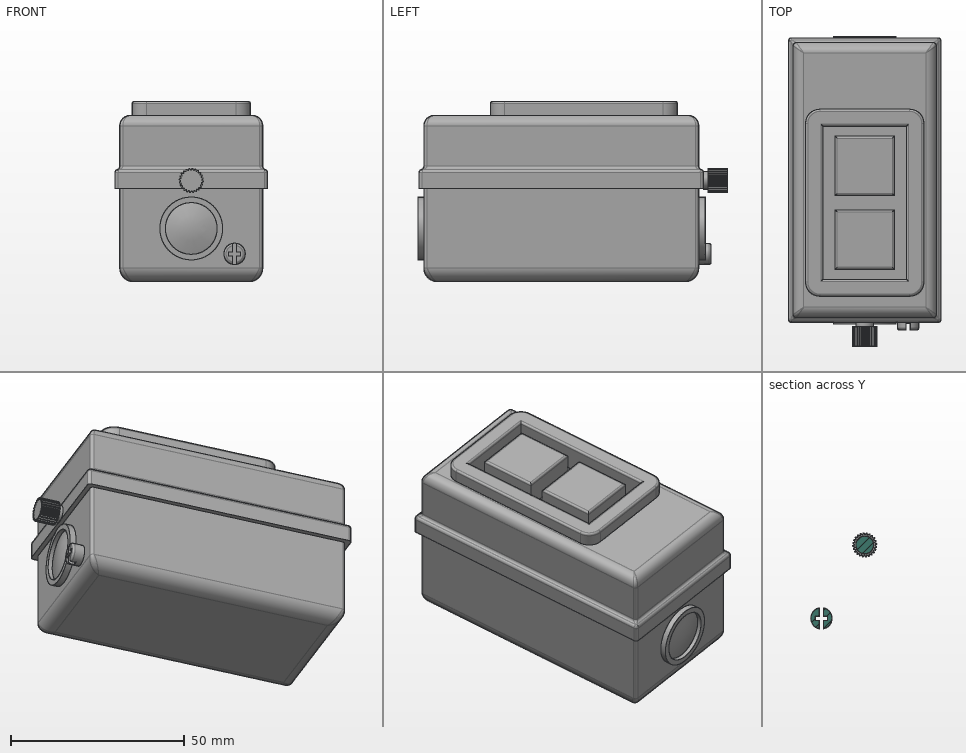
import cadquery as cq
import math

TOTAL_LENGTH = 89.3
BODY_WIDTH = 41.3
BODY_LENGTH = 79.3
BODY_HEIGHT = 47.95
FLANGE_WIDTH = 44.0
FLANGE_OVERHANG = (FLANGE_WIDTH - BODY_WIDTH) / 2
FLANGE_BOTTOM = 26.9
FLANGE_STRAIGHT_TOP = 31.4
FLANGE_CURVE_RADIUS = 1.0
BASE_EDGE_RADIUS = 4.0
COVER_EDGE_RADIUS = 3.0
CORNER_RADIUS = 0.9
SAME_HEIGHT = 0.01

FRAME_WIDTH = 34.1
FRAME_LENGTH = 53.9
FRAME_HEIGHT = 4.0
FRAME_CENTER_Y = -6.5
FRAME_CORNER_RADIUS = 4.1
OPENING_WIDTH = 24.0
OPENING_LENGTH = 44.1
OPENING_DEPTH = 8.0
BUTTON_SIZE = 17.15
BUTTON_PITCH = 21.25
EDGE_ROUND = 0.6

COLLAR_DIAMETER = 18.1
COLLAR_BORE = 14.9
COLLAR_Z = 15.4
FRONT_COLLAR_HEIGHT = 1.9
BACK_COLLAR_HEIGHT = 1.7
DOME_RIM_DEPTH = 1.25
DOME_RISE = 1.2

KNOB_Z = 29.2
KNOB_DIAMETER = 7.0
KNOB_ROOT_DIAMETER = 6.1
KNOB_LENGTH = 5.7
KNOB_TEETH = 24
STEPS_PER_TOOTH = 4
NECK_DIAMETER = 5.2

SCREW_X = 12.5
SCREW_Z = 8.0
SCREW_DIAMETER = 6.2
SCREW_HEIGHT = 3.6
SCREW_SLOT_WIDTH = 1.2
SCREW_SHORT_SLOT = 3.5
SCREW_SLOT_DEPTH = 1.9

FRONT_FACE_Y = -BODY_LENGTH / 2
BACK_FACE_Y = BODY_LENGTH / 2
FRAME_TOP = BODY_HEIGHT + FRAME_HEIGHT


def end_plane(x, y, z, facing):
    """Sketch plane on an end face; facing is -1 toward -Y, +1 toward +Y."""
    return cq.Plane(origin=(x, y, z), xDir=(-facing, 0, 0), normal=(0, facing, 0))


def base():
    """Lower box with rounded bottom edges and slightly rounded corners."""
    box = cq.Workplane("XY").rect(BODY_WIDTH, BODY_LENGTH).extrude(FLANGE_STRAIGHT_TOP)
    return box.edges("|Z").fillet(CORNER_RADIUS).faces("<Z").edges().fillet(BASE_EDGE_RADIUS)


def cover_profile(plane, span, depth):
    """Cover cross-section of the given span, extruded over the given depth."""
    half = span / 2
    outer = half + FLANGE_OVERHANG
    turn = math.acos(1 - FLANGE_OVERHANG / (2 * FLANGE_CURVE_RADIUS))
    arc_rise = FLANGE_CURVE_RADIUS * math.sin(turn)
    curve_middle = (half + FLANGE_OVERHANG / 2, FLANGE_STRAIGHT_TOP + arc_rise)
    curve_top = FLANGE_STRAIGHT_TOP + 2 * arc_rise
    right_half = (
        cq.Workplane(plane)
        .moveTo(0, FLANGE_BOTTOM)
        .lineTo(outer, FLANGE_BOTTOM)
        .lineTo(outer, FLANGE_STRAIGHT_TOP)
        .tangentArcPoint(curve_middle, relative=False)
        .tangentArcPoint((half, curve_top), relative=False)
        .lineTo(half, BODY_HEIGHT - COVER_EDGE_RADIUS)
        .tangentArcPoint((half - COVER_EDGE_RADIUS, BODY_HEIGHT), relative=False)
        .lineTo(0, BODY_HEIGHT)
    )
    return right_half.mirrorY().extrude(depth / 2, both=True)


def cover():
    """Cover with the same profile on all four sides and rounded mitred corners."""
    flange_length = BODY_LENGTH + 2 * FLANGE_OVERHANG
    across = cover_profile("XZ", BODY_WIDTH, flange_length)
    along = cover_profile("YZ", BODY_LENGTH, FLANGE_WIDTH)
    solid = across.intersect(along)
    corner_edges = []
    for edge in solid.edges().vals():
        rise = abs(edge.endPoint().z - edge.startPoint().z)
        if rise > SAME_HEIGHT:
            corner_edges.append(edge)
    return solid.newObject(corner_edges).fillet(CORNER_RADIUS)


def frame_plane(z):
    """Horizontal sketch plane at height z, centered on the button frame."""
    return cq.Workplane("XY", origin=(0, FRAME_CENTER_Y, z))


def button_opening():
    """Straight-sided opening through the frame and on into the cover."""
    return frame_plane(FRAME_TOP).rect(OPENING_WIDTH, OPENING_LENGTH).extrude(-OPENING_DEPTH)


def button_frame():
    """Raised frame with rounded corners and rounded edges around its opening."""
    frame = frame_plane(BODY_HEIGHT).rect(FRAME_WIDTH, FRAME_LENGTH).extrude(FRAME_HEIGHT)
    frame = frame.edges("|Z").fillet(FRAME_CORNER_RADIUS).cut(button_opening())
    return frame.faces(">Z").edges().fillet(EDGE_ROUND)


def buttons():
    """Two square buttons standing on the opening floor, flush with the frame."""
    centers = frame_plane(FRAME_TOP - OPENING_DEPTH).rarray(0.9, BUTTON_PITCH, 1, 2)
    blocks = centers.rect(BUTTON_SIZE, BUTTON_SIZE).extrude(OPENING_DEPTH)
    return blocks.faces(">Z").edges().fillet(EDGE_ROUND)


def collar(facing, height):
    """Collar ring on one end face, closed by a shallow spherical dome."""
    face = end_plane(0, facing * BODY_LENGTH / 2, COLLAR_Z, facing)
    bore_radius = COLLAR_BORE / 2
    ring = cq.Workplane(face).circle(COLLAR_DIAMETER / 2).circle(bore_radius).extrude(height)
    sphere_radius = (bore_radius**2 + DOME_RISE**2) / (2 * DOME_RISE)
    apex_height = height - DOME_RIM_DEPTH + DOME_RISE
    plug = cq.Workplane(face).circle(bore_radius).extrude(apex_height)
    sphere_center = cq.Workplane(face).workplane(offset=apex_height - sphere_radius)
    dome = plug.intersect(sphere_center.sphere(sphere_radius))
    return ring.union(dome)


def knob():
    """Knurled thumb screw on a plain neck, ending at the overall length."""
    tip_y = BACK_FACE_Y + BACK_COLLAR_HEIGHT - TOTAL_LENGTH
    flange_y = FRONT_FACE_Y - FLANGE_OVERHANG
    root = KNOB_ROOT_DIAMETER / 2
    crest = KNOB_DIAMETER / 2
    points = []
    for i in range(STEPS_PER_TOOTH * KNOB_TEETH):
        radius = root if i % STEPS_PER_TOOTH < STEPS_PER_TOOTH / 2 else crest
        angle = 2 * math.pi * i / (STEPS_PER_TOOTH * KNOB_TEETH)
        points.append((radius * math.cos(angle), radius * math.sin(angle)))
    head = cq.Workplane(end_plane(0, tip_y, KNOB_Z, -1)).polyline(points).close().extrude(-KNOB_LENGTH)
    neck = cq.Workplane(end_plane(0, flange_y, KNOB_Z, -1)).circle(NECK_DIAMETER / 2).extrude(flange_y - tip_y)
    return neck.union(head)


def ground_screw():
    """Round screw head with one through slot crossed by a short closed slot."""
    face = end_plane(SCREW_X, FRONT_FACE_Y, SCREW_Z, -1)
    head = cq.Workplane(face).circle(SCREW_DIAMETER / 2).extrude(SCREW_HEIGHT)
    head = head.faces("<Y").edges().fillet(EDGE_ROUND)
    tip = cq.Workplane(face).workplane(offset=SCREW_HEIGHT)
    through_slot = tip.rect(SCREW_SLOT_WIDTH, SCREW_DIAMETER).extrude(-SCREW_SLOT_DEPTH)
    short_slot = tip.rect(SCREW_SHORT_SLOT, SCREW_SLOT_WIDTH).extrude(-SCREW_SLOT_DEPTH)
    return head.cut(through_slot).cut(short_slot)


result = (
    base()
    .union(cover())
    .cut(button_opening())
    .union(button_frame())
    .union(buttons())
    .union(collar(-1, FRONT_COLLAR_HEIGHT))
    .union(collar(1, BACK_COLLAR_HEIGHT))
    .union(knob())
    .union(ground_screw())
)